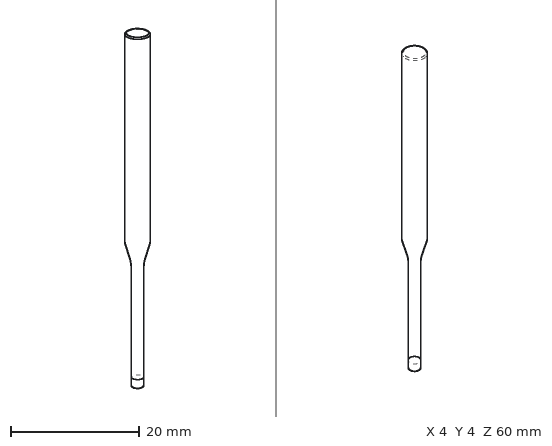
import cadquery as cq
import math

TOTAL_LENGTH = 60.0

SHANK_RADIUS = TOTAL_LENGTH / 30
SHANK_BOTTOM = 24.5
SHANK_CHAMFER = 0.25

TIP_RADIUS = SHANK_RADIUS / 2
TIP_LENGTH = 1.6
TIP_CORNER_RADIUS = 0.3

NECK_RADIUS = TIP_RADIUS
FLARE_BOTTOM = 20.2
CONE_HALF_ANGLE = math.radians(16.0)


def flare_arc_radius():
    """Radius of the arc that is tangent to both the neck and the cone."""
    radial_growth = SHANK_RADIUS - NECK_RADIUS
    crossing_height = SHANK_BOTTOM - radial_growth / math.tan(CONE_HALF_ANGLE)
    tangent_length = crossing_height - FLARE_BOTTOM
    return tangent_length / math.tan(CONE_HALF_ANGLE / 2)


def flare_point(arc_radius, angle):
    """Point (radius, Z) on the flare arc, turned by angle from its lower end."""
    radius = NECK_RADIUS + arc_radius * (1 - math.cos(angle))
    height = FLARE_BOTTOM + arc_radius * math.sin(angle)
    return radius, height


def make_holder():
    """Shank, cone and neck, revolved about Z."""
    arc_radius = flare_arc_radius()
    return (
        cq.Workplane("XZ")
        .moveTo(0, TIP_LENGTH)
        .lineTo(NECK_RADIUS, TIP_LENGTH)
        .lineTo(NECK_RADIUS, FLARE_BOTTOM)
        .threePointArc(
            flare_point(arc_radius, CONE_HALF_ANGLE / 2),
            flare_point(arc_radius, CONE_HALF_ANGLE),
        )
        .lineTo(SHANK_RADIUS, SHANK_BOTTOM)
        .lineTo(SHANK_RADIUS, TOTAL_LENGTH)
        .lineTo(0, TOTAL_LENGTH)
        .close()
        .revolve(360, (0, 0), (0, 1))
        .faces(">Z")
        .chamfer(SHANK_CHAMFER)
    )


def make_tip():
    """Cutting tip below the neck, with a rounded lower corner."""
    return (
        cq.Workplane("XY")
        .circle(TIP_RADIUS)
        .extrude(TIP_LENGTH)
        .faces("<Z")
        .edges()
        .fillet(TIP_CORNER_RADIUS)
    )


holder = make_holder()
tip = make_tip()

result = cq.Compound.makeCompound([holder.val(), tip.val()])